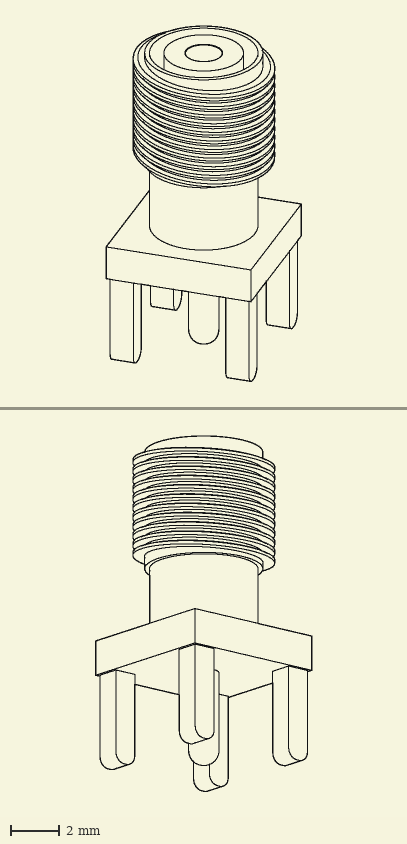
import cadquery as cq

total_height = 13.46
plate_thickness = 1.48
neck_height = 3.0
collar_height = 5.02
leg_length = total_height - plate_thickness - neck_height - collar_height
plate_top = leg_length + plate_thickness
collar_base = plate_top + neck_height

plate_width = 6.35

leg_pitch = 5.07
leg_width = 1.02
leg_tip_radius = 0.45
pin_diameter = 1.27
pin_tip_radius = 0.59

neck_diameter = 4.5
collar_diameter = 4.9
bore_diameter = 4.5
insulator_diameter = 3.3
contact_diameter = 1.52
contact_bevel = 0.02
socket_depth = 3.0

thread_diameter = 5.9
ring_thickness = 0.2
ring_bevel_height = 0.07
ring_bevel_width = 0.19
ring_count = 11
ring_span = 4.0
ring_pitch = ring_span / (ring_count - 1)
ring_tilt = 5.0
top_ring_drop = 0.62


def cylinder(diameter, bottom, height):
    """Upright cylinder on the connector axis."""
    return cq.Workplane("XY").workplane(offset=bottom).circle(diameter / 2).extrude(height)


def make_plate():
    plate = cq.Workplane("XY").workplane(offset=leg_length)
    return plate.rect(plate_width, plate_width).extrude(plate_thickness)


def make_legs():
    """Four square legs whose tips are rounded across Y."""
    legs = cq.Workplane("XY").rect(leg_pitch, leg_pitch, forConstruction=True).vertices()
    legs = legs.rect(leg_width, leg_width).extrude(leg_length)
    return legs.faces("<Z").edges("|X").fillet(leg_tip_radius)


def make_pin():
    return cylinder(pin_diameter, 0, leg_length).faces("<Z").edges().fillet(pin_tip_radius)


def make_socket_cutter():
    """Annular gap around the insulator, plus the contact hole in its middle."""
    floor = total_height - socket_depth
    gap = cylinder(bore_diameter, floor, socket_depth).cut(cylinder(insulator_diameter, floor, socket_depth))
    hole = cylinder(contact_diameter, floor, socket_depth)
    mouth = cq.Workplane("XY").workplane(offset=total_height).circle(contact_diameter / 2 + contact_bevel)
    mouth = mouth.extrude(-contact_bevel, taper=45)
    return gap.union(hole).union(mouth)


def make_thread_ring(height):
    """One ring, tilted about Y so that its -X side is the higher one."""
    outer = thread_diameter / 2
    inner = (bore_diameter + collar_diameter) / 4
    profile = [
        (inner, 0),
        (outer, 0),
        (outer, ring_thickness - ring_bevel_height),
        (outer - ring_bevel_width, ring_thickness),
        (inner, ring_thickness),
    ]
    ring = cq.Workplane("XZ").polyline(profile).close().revolve(360, (0, 0), (0, 1))
    return ring.rotate((0, 0, 0), (0, 1, 0), ring_tilt).translate((0, 0, height))


body = make_plate().union(make_legs()).union(make_pin())
body = body.union(cylinder(neck_diameter, plate_top, neck_height))
body = body.union(cylinder(collar_diameter, collar_base, collar_height))
body = body.cut(make_socket_cutter())

for index in range(ring_count):
    body = body.union(make_thread_ring(total_height - top_ring_drop - index * ring_pitch))

result = body